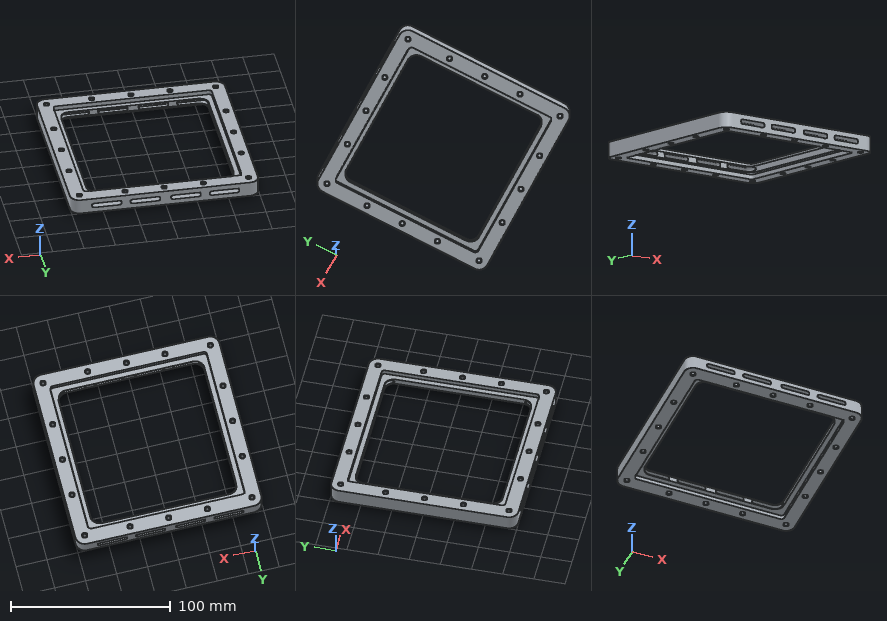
import cadquery as cq

side = 120.0
height = 10.0
corner_radius = 6.0

opening_inset = 13.0
opening_radius = 6.0
rebate_inset = 9.5
rebate_radius = 2.0
rebate_depth = 3.0

hole_diameter = 2.5
hole_mouth_diameter = 3.5
hole_chamfer = (hole_mouth_diameter - hole_diameter) / 2
corner_hole_inset = corner_radius
side_hole_inset = 5.0
side_hole_pitch = 25.0

slot_length = 19.0
slot_height = 3.0
slot_offsets = (13.0, 37.5)


def rounded_square(width, depth, radius):
    """Square block with rounded upright edges, centred on the origin."""
    return cq.Workplane("XY").box(width, width, depth).edges("|Z").fillet(radius)


def make_frame():
    """Square ring with a lip left at mid height between two rebates."""
    outer = rounded_square(side, height, corner_radius)
    opening = rounded_square(side - 2 * opening_inset, height, opening_radius)
    rebate = rounded_square(side - 2 * rebate_inset, rebate_depth, rebate_radius)
    rebate_centre_z = (height - rebate_depth) / 2
    frame = outer.cut(opening)
    for z in (-rebate_centre_z, rebate_centre_z):
        frame = frame.cut(rebate.translate((0, 0, z)))
    return frame


def hole_centres():
    """Centres of the corner holes and of the three holes on each side."""
    corner = side / 2 - corner_hole_inset
    row = side / 2 - side_hole_inset
    centres = [(x, y) for x in (-corner, corner) for y in (-corner, corner)]
    for along in (-side_hole_pitch, 0, side_hole_pitch):
        for across in (-row, row):
            centres.append((along, across))
            centres.append((across, along))
    return centres


def make_holes():
    """Through holes with a 45 degree chamfer at the top and bottom faces."""
    hole = (
        cq.Workplane("XY")
        .circle(hole_diameter / 2)
        .extrude(height / 2, both=True)
    )
    for face in (-1, 1):
        mouth = (
            cq.Workplane("XY", origin=(0, 0, face * height / 2))
            .circle(hole_mouth_diameter / 2)
            .workplane(offset=-face * hole_chamfer)
            .circle(hole_diameter / 2)
            .loft(ruled=True)
        )
        hole = hole.union(mouth)
    hole_shape = hole.val()
    return (
        cq.Workplane("XY")
        .pushPoints(hole_centres())
        .eachpoint(lambda place: hole_shape.located(place))
    )


def make_slots():
    """Round-ended bars at mid height, passing through the front and back rails."""
    centres = [(sign * offset, 0) for sign in (-1, 1) for offset in slot_offsets]
    return (
        cq.Workplane("XZ")
        .pushPoints(centres)
        .slot2D(slot_length, slot_height)
        .extrude(side / 2, both=True)
    )


result = make_frame().cut(make_holes()).cut(make_slots())